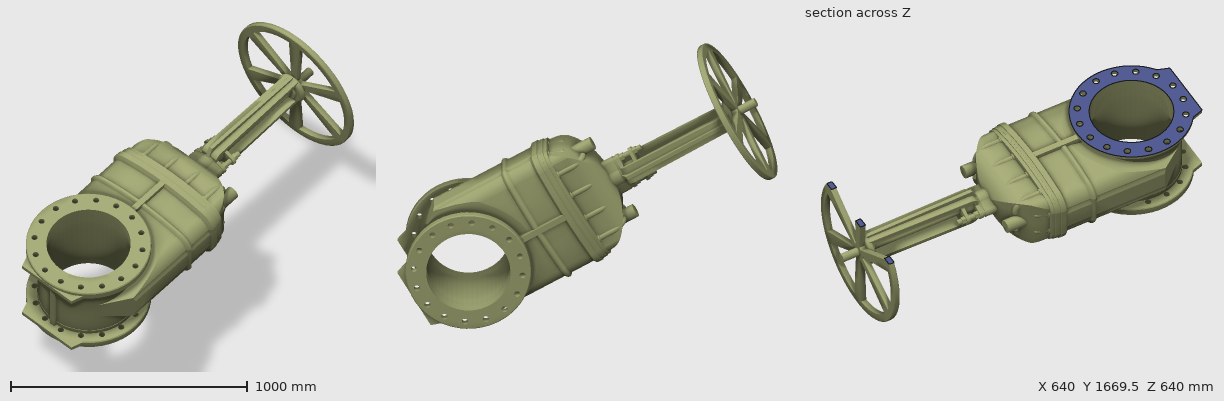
import cadquery as cq
import math


face_to_face = 381.0
half_face = face_to_face / 2
bore_radius = 178.0
barrel_radius = 215.0
flange_radius = 265.0
flange_rim_chamfer = 4.0
flange_thickness = 36.0
flange_inner_z = half_face - flange_thickness
hub_radius = 217.0
hub_length = 19.0
bolt_count = 16
bolt_circle_radius = 230.0
bolt_hole_radius = 13.0
foot_y = -flange_radius
foot_top_y = -213.0
foot_half_width = 140.0
foot_top_half_width = 158.0
foot_thickness = 19.0
keel_half_width = 12.0
keel_y = -230.0

body_half_width = 269.0
body_crown_z = 133.0
shoulder_x = 220.0
shoulder_z = 109.0
side_z = 66.0
body_top_y = 497.0
cheek_y = -8.0
cheek_end_x = 163.0
cheek_end_y = -140.0
taper_start_y = 300.0
taper_end_z = 36.0
guide_x = 276.0
guide_base_half = 59.0
guide_root_x = 271.5
guide_root_half = 50.0
guide_face_half = 38.0
collar_y = 472.0
collar_growth = 13.0
crown_lift = 8.0
ring_y = 334.0
ring_width = 32.0
rib_half_width = 13.0
rib_z = 153.0

bonnet_flange_steps = ((body_top_y, 511.0, 8.0), (511.0, 523.0, 7.0), (523.0, 539.0, 2.0))
dome_half_z = 116.0
dome_round = 104.0
dome_top_y = 708.0
dome_spring_y = dome_top_y - dome_round
dome_base_y = 539.0
dome_base_x = 253.0
dome_knuckle_x = 213.0
dome_knuckle_y = 620.0
dome_rib_xs = (59.5, 171.5)
dome_rib_radius = 13.0
dome_rib_z = 110.0
dome_rib_top_y = 598.0
dome_rib_bend = 60.0
side_rib_x = 242.0
side_rib_z = 50.0
side_rib_length = 60.0
side_rib_lean = 18.0
bolt_head_radius = 18.0
bolt_head_top_y = 545.0
post_x = 180.5
post_radius = 29.0
post_base_y = 560.0
post_top_y = 712.0

neck_base_y = 680.0
neck_top_y = 751.0
neck_radius = 47.0
neck_flat_x = 32.0
lug_flat_x = 70.0
lug_flat_z = 19.0
lug_tip_x = 84.5
groove_top_y = 763.0
groove_depth = 3.0
seat_top_y = 778.0
gland_y = 826.0
gland_top_y = 841.0
follower_radius = 30.0
stud_x = 63.0
stud_radius = 12.0
stud_top_y = 879.0
nut_radius = 17.5
nut_height = 18.0
arm_inner_z = 50.0
arm_plate_z = 67.0
arm_foot_y = 753.0
arm_bend_y = 775.0
arm_curve_y = 796.0
arm_bottom_z = 88.0
arm_top_z = 78.0
arm_top_y = 1288.0
arm_bridge_y = 1273.0
arm_bottom_half_width = 40.5
arm_top_half_width = 34.0
arm_rib_half_width = 8.0

stem_radius = 19.0
stem_top_y = 1404.5
wheel_radius = 320.0
wheel_inner_radius = 285.0
wheel_y = 1300.5
wheel_thickness = 26.0
wheel_edge = 3.0
spoke_count = 6
spoke_hub_half_width = 12.0
spoke_rim_half_width = 30.0
wheel_hub_radius = 40.0
hub_disc_radius = 70.0
hub_disc_y = 1272.0
hub_disc_round = 13.0
nose_radius = 38.0
nose_y = 1261.0


def across(start_y):
    """Workplane across the stem axis at start_y; local (u, v) = global (x, z)."""
    return cq.Workplane("XZ", origin=(0, start_y, 0))


def rise(sketch, height):
    """Extrude a closed XZ outline towards +Y."""
    return sketch.extrude(-height)


def round_bar(radius, y0, y1, x=0.0, z=0.0):
    return rise(across(y0).center(x, z).circle(radius), y1 - y0)


def box(x0, x1, y0, y1, z0, z1):
    return cq.Workplane("XY").box(x1 - x0, y1 - y0, z1 - z0, centered=False).translate((x0, y0, z0))


def with_mirror(shape, plane):
    return shape.union(shape.mirror(plane))


def barrel():
    body = cq.Workplane("XY").circle(barrel_radius).extrude(half_face, both=True)
    keel = box(-keel_half_width, keel_half_width, keel_y, -bore_radius, -half_face, half_face)
    return body.union(keel)


def end_flange():
    disc = cq.Workplane("XY", origin=(0, 0, flange_inner_z)).circle(flange_radius).extrude(flange_thickness)
    disc = disc.edges().chamfer(flange_rim_chamfer)
    hub = (
        cq.Workplane("XY", origin=(0, 0, flange_inner_z - hub_length)).circle(hub_radius).extrude(hub_length)
    )
    foot = (
        cq.Workplane("XY", origin=(0, 0, flange_inner_z))
        .polyline([
            (-foot_half_width, foot_y), (foot_half_width, foot_y),
            (foot_top_half_width, foot_top_y), (-foot_top_half_width, foot_top_y),
        ])
        .close()
        .extrude(foot_thickness)
    )
    holes = (
        cq.Workplane("XY", origin=(0, 0, flange_inner_z))
        .polarArray(bolt_circle_radius, 180 / bolt_count, 360, bolt_count)
        .circle(bolt_hole_radius)
        .extrude(flange_thickness)
    )
    return disc.union(foot).cut(holes).union(hub)


def body_outline(start_y, growth=0.0, lift=0.0):
    """Oval section: gently crowned top and bottom, rounded shoulders, straight sides.

    growth moves the whole outline outwards; lift moves only the crowns away from Z = 0.
    """
    half_width = body_half_width + growth
    crown = body_crown_z + growth + lift
    shoulder = shoulder_z + growth + lift
    return (
        across(start_y)
        .moveTo(-shoulder_x, shoulder)
        .threePointArc((0, crown), (shoulder_x, shoulder))
        .tangentArcPoint((half_width, side_z), relative=False)
        .lineTo(half_width, -side_z)
        .radiusArc((shoulder_x, -shoulder), shoulder_radius(half_width, shoulder, crown))
        .threePointArc((0, -crown), (-shoulder_x, -shoulder))
        .tangentArcPoint((-half_width, -side_z), relative=False)
        .lineTo(-half_width, side_z)
        .radiusArc((-shoulder_x, shoulder), shoulder_radius(half_width, shoulder, crown))
        .close()
    )


def shoulder_radius(half_width, shoulder, crown):
    """Radius of the arc that leaves the crown tangentially and ends on the straight side."""
    crown_slope = 2 * math.atan((crown - shoulder) / shoulder_x)
    run = half_width - shoulder_x
    drop = shoulder - side_z
    turn = math.atan2(drop, run) - crown_slope
    return math.hypot(run, drop) / (2 * math.sin(turn))


def loft_outlines(stations, lift=0.0):
    """Smooth loft through body outlines given as (y, growth); lift applies where growth is not zero."""
    wires = [body_outline(y, growth, lift if growth else 0).val() for y, growth in stations]
    return cq.Workplane(cq.Solid.makeLoft(wires))


def gate_body():
    shell = rise(body_outline(cheek_end_y), body_top_y - cheek_end_y)
    guide = rise(
        across(cheek_end_y).polyline([
            (cheek_end_x, guide_base_half), (body_half_width, guide_base_half),
            (guide_root_x, guide_root_half), (guide_x, guide_face_half),
            (guide_x, -guide_face_half), (guide_root_x, -guide_root_half),
            (body_half_width, -guide_base_half), (cheek_end_x, -guide_base_half),
        ]).close(),
        collar_y - cheek_end_y,
    )
    shell = shell.union(with_mirror(guide, "YZ"))
    plan = (
        cq.Workplane("XY")
        .polyline([
            (-guide_x, body_top_y), (-guide_x, cheek_y), (-cheek_end_x, cheek_end_y),
            (cheek_end_x, cheek_end_y), (guide_x, cheek_y), (guide_x, body_top_y),
        ])
        .close()
        .extrude(half_face, both=True)
    )
    taper = (
        cq.Workplane("YZ")
        .polyline([
            (body_top_y, body_crown_z), (taper_start_y, body_crown_z), (cheek_end_y, taper_end_z),
            (cheek_end_y, -taper_end_z), (taper_start_y, -body_crown_z), (body_top_y, -body_crown_z),
        ])
        .close()
        .extrude(guide_x, both=True)
    )
    shell = shell.intersect(plan).intersect(taper)
    collar_bottom_y = collar_y - collar_growth
    collar = rise(body_outline(collar_y, collar_growth, crown_lift), body_top_y - collar_y)
    collar = collar.union(loft_outlines(((collar_bottom_y, 0), (collar_y, collar_growth)), crown_lift))
    ring = loft_outlines(
        ((ring_y - ring_width / 2, 0), (ring_y, collar_growth), (ring_y + ring_width / 2, 0))
    )
    rib = box(-rib_half_width, rib_half_width, bore_radius, collar_y, -rib_z, rib_z)
    return shell.union(collar).union(ring).union(rib)


def dome_rib(x):
    """Round rib that climbs the flat of the dome and bends into its crown, on a bolt head."""
    straight = round_bar(dome_rib_radius, dome_base_y, dome_rib_top_y, x, dome_rib_z)
    bend = (
        across(dome_rib_top_y)
        .center(x, dome_rib_z)
        .circle(dome_rib_radius)
        .revolve(90, (1, -dome_rib_bend), (0, -dome_rib_bend))
    )
    return straight.union(bend).union(round_bar(bolt_head_radius, body_top_y, bolt_head_top_y, x, dome_rib_z))


def side_rib():
    """Leaning rib on the end of the dome, on a bolt head."""
    rib = round_bar(dome_rib_radius, dome_base_y, dome_base_y + side_rib_length, side_rib_x, side_rib_z)
    foot = (side_rib_x, dome_base_y, side_rib_z)
    rib = rib.rotate(foot, (side_rib_x, dome_base_y, side_rib_z + 1), side_rib_lean)
    return rib.union(round_bar(bolt_head_radius, body_top_y, bolt_head_top_y, side_rib_x, side_rib_z))


def bonnet():
    half_front = (
        cq.Workplane("XY")
        .moveTo(-dome_knuckle_x, dome_knuckle_y)
        .threePointArc((0, dome_top_y), (dome_knuckle_x, dome_knuckle_y))
        .tangentArcPoint((dome_base_x, dome_base_y), relative=False)
        .lineTo(-dome_knuckle_x, dome_base_y)
        .close()
        .extrude(dome_half_z, both=True)
    )
    front = with_mirror(half_front, "YZ")
    side = (
        cq.Workplane("YZ")
        .moveTo(dome_base_y, -dome_half_z)
        .lineTo(dome_spring_y, -dome_half_z)
        .tangentArcPoint((dome_top_y, dome_round - dome_half_z), relative=False)
        .lineTo(dome_top_y, dome_half_z - dome_round)
        .tangentArcPoint((dome_spring_y, dome_half_z), relative=False)
        .lineTo(dome_base_y, dome_half_z)
        .close()
        .extrude(dome_base_x, both=True)
    )
    inset = dome_base_x - body_half_width
    plan_lift = dome_half_z - shoulder_z - inset
    plan = rise(body_outline(dome_base_y, inset, plan_lift), dome_top_y - dome_base_y)
    dome = front.intersect(side).intersect(plan)
    for y0, y1, growth in bonnet_flange_steps:
        dome = dome.union(rise(body_outline(y0, growth, crown_lift), y1 - y0))
    for rib in [dome_rib(x) for x in dome_rib_xs] + [side_rib()]:
        dome = dome.union(with_mirror(with_mirror(rib, "XY"), "YZ"))
    post = round_bar(post_radius, post_base_y, post_top_y, post_x)
    return dome.union(with_mirror(post, "YZ"))


def lug_plate(y0, y1, inset=0.0):
    """Round centre joined by flats to a rounded lug on each side."""
    neck_flat_z = math.sqrt(neck_radius**2 - neck_flat_x**2)
    outline = (
        across(y0)
        .moveTo(-neck_flat_x, neck_flat_z)
        .threePointArc((0, neck_radius), (neck_flat_x, neck_flat_z))
        .lineTo(lug_flat_x, lug_flat_z)
        .threePointArc((lug_tip_x, 0), (lug_flat_x, -lug_flat_z))
        .lineTo(neck_flat_x, -neck_flat_z)
        .threePointArc((0, -neck_radius), (-neck_flat_x, -neck_flat_z))
        .lineTo(-lug_flat_x, -lug_flat_z)
        .threePointArc((-lug_tip_x, 0), (-lug_flat_x, lug_flat_z))
        .close()
    )
    if inset:
        outline = outline.offset2D(-inset)
    return rise(outline, y1 - y0)


def nut(y0):
    return rise(across(y0).center(stud_x, 0).polygon(6, 2 * nut_radius), nut_height)


def neck_and_gland():
    stack = lug_plate(neck_base_y, neck_top_y)
    stack = stack.union(lug_plate(neck_top_y, groove_top_y, groove_depth))
    stack = stack.union(lug_plate(groove_top_y, seat_top_y)).union(lug_plate(gland_y, gland_top_y))
    stack = stack.union(round_bar(follower_radius, seat_top_y, gland_y))
    stud = round_bar(stud_radius, neck_top_y, stud_top_y, stud_x).union(nut(seat_top_y)).union(nut(gland_top_y))
    return stack.union(with_mirror(stud, "YZ"))


def yoke():
    plate_side = (
        cq.Workplane("YZ")
        .moveTo(arm_top_y, arm_plate_z)
        .lineTo(arm_curve_y, arm_plate_z)
        .tangentArcPoint((groove_top_y, arm_inner_z), relative=False)
        .lineTo(groove_top_y, 0)
        .lineTo(seat_top_y, 0)
        .lineTo(seat_top_y, arm_inner_z)
        .lineTo(arm_bridge_y, arm_inner_z)
        .lineTo(arm_bridge_y, 0)
        .lineTo(arm_top_y, 0)
        .close()
        .extrude(arm_bottom_half_width, both=True)
    )
    plate_front = (
        cq.Workplane("XY")
        .polyline([
            (-arm_bottom_half_width, arm_foot_y), (arm_bottom_half_width, arm_foot_y),
            (arm_top_half_width, arm_top_y), (-arm_top_half_width, arm_top_y),
        ])
        .close()
        .extrude(arm_plate_z)
    )
    rib = (
        cq.Workplane("YZ")
        .polyline([
            (arm_foot_y, arm_inner_z), (arm_bend_y, arm_bottom_z), (arm_top_y, arm_top_z),
            (hub_disc_y, arm_inner_z),
        ])
        .close()
        .extrude(arm_rib_half_width, both=True)
    )
    rib = rib.union(
        box(-arm_rib_half_width, arm_rib_half_width, arm_bend_y, arm_bridge_y, arm_inner_z, arm_plate_z)
    )
    return with_mirror(plate_side.intersect(plate_front).union(rib), "XY")


def stem():
    disc = round_bar(hub_disc_radius, hub_disc_y, wheel_y).edges().fillet(hub_disc_round)
    nose = round_bar(nose_radius, nose_y, hub_disc_y)
    return round_bar(stem_radius, neck_top_y, stem_top_y).union(disc).union(nose)


def handwheel():
    rim = rise(across(wheel_y).circle(wheel_radius), wheel_thickness)
    rim = rim.edges().chamfer(wheel_edge)
    rim = rim.cut(rise(across(wheel_y).circle(wheel_inner_radius), wheel_thickness))
    spoke_end = (wheel_radius + wheel_inner_radius) / 2
    spoke = rise(
        across(wheel_y).polyline([
            (-spoke_hub_half_width, 0), (spoke_hub_half_width, 0),
            (spoke_rim_half_width, spoke_end), (-spoke_rim_half_width, spoke_end),
        ]).close(),
        wheel_thickness,
    )
    wheel = rim.union(round_bar(wheel_hub_radius, wheel_y, wheel_y + wheel_thickness))
    for i in range(spoke_count):
        wheel = wheel.union(spoke.rotate((0, 0, 0), (0, 1, 0), i * 360 / spoke_count))
    return wheel


valve = barrel().union(with_mirror(end_flange(), "XY")).union(gate_body()).union(bonnet())
valve = valve.union(neck_and_gland()).union(yoke()).union(stem()).union(handwheel())
bore = cq.Workplane("XY").circle(bore_radius).extrude(half_face, both=True)
result = valve.cut(bore)